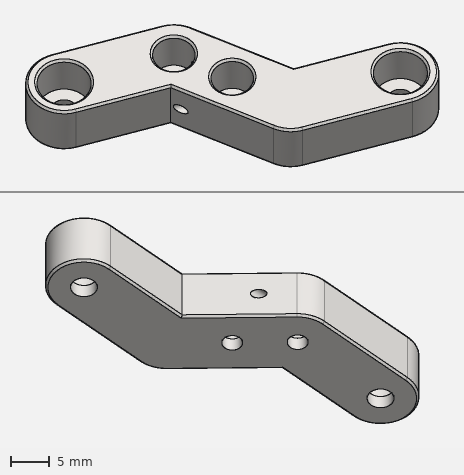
import cadquery as cq
import math

length = 52.0
arm_width = 10.0
side_step = 12.0
thickness = 8.0
edge_chamfer = 0.3

end_pocket_diameter = 7.0
end_bore_diameter = 3.5
middle_pocket_diameter = 5.5
middle_bore_diameter = 2.7
pocket_depth = 6.0

cross_diameter = 1.5

end_radius = arm_width / 2
half_step = side_step / 2
center_y = length / 2 - end_radius
lower_end = (-half_step, -center_y)
lower_bend = (-half_step, -half_step)
upper_end = (half_step, center_y)
slant_center = (0, 0)


def make_body():
    """Extrude the bent bar with rounded ends and rounded outer bends."""
    diagonal = end_radius / math.sqrt(2)
    middle_angle = math.radians(22.5)
    inner_shift = end_radius * math.tan(middle_angle)
    arc_x = end_radius * math.cos(middle_angle)
    arc_y = end_radius * math.sin(middle_angle)
    left = -half_step - end_radius
    right = half_step + end_radius
    outline = (
        cq.Workplane("XY")
        .moveTo(left, -center_y)
        .threePointArc((-half_step, -length / 2), (-half_step + end_radius, -center_y))
        .lineTo(-half_step + end_radius, -half_step - inner_shift)
        .lineTo(half_step + diagonal, half_step - diagonal)
        .threePointArc((half_step + arc_x, half_step - arc_y), (right, half_step))
        .lineTo(right, center_y)
        .threePointArc((half_step, length / 2), (half_step - end_radius, center_y))
        .lineTo(half_step - end_radius, half_step + inner_shift)
        .lineTo(-half_step - diagonal, -half_step + diagonal)
        .threePointArc((-half_step - arc_x, -half_step + arc_y), (left, -half_step))
        .close()
    )
    return outline.extrude(thickness).faces("<Z or >Z").chamfer(edge_chamfer)


def stepped_hole(center, pocket_diameter, bore_diameter):
    """Cutter for a through bore with a wider pocket and a chamfered mouth."""
    pocket_radius = pocket_diameter / 2
    bore_radius = bore_diameter / 2
    floor = thickness - pocket_depth
    profile = [
        (0, 0),
        (bore_radius, 0),
        (bore_radius, floor),
        (pocket_radius, floor),
        (pocket_radius, thickness - edge_chamfer),
        (pocket_radius + edge_chamfer, thickness),
        (0, thickness),
    ]
    cutter = cq.Workplane("XZ").polyline(profile).close().revolve(360, (0, 0), (0, 1))
    return cutter.translate((center[0], center[1], 0))


def cross_hole(center, direction_y):
    """Cutter for a small hole from a pocket centre out through a slanted face."""
    start = cq.Vector(center[0], center[1], thickness / 2)
    direction = cq.Vector(0, direction_y, 0)
    cylinder = cq.Solid.makeCylinder(cross_diameter / 2, length / 2, start, direction)
    return cq.Workplane(obj=cylinder)


result = make_body()
for end in (lower_end, upper_end):
    result = result.cut(stepped_hole(end, end_pocket_diameter, end_bore_diameter))
for center in (lower_bend, slant_center):
    result = result.cut(stepped_hole(center, middle_pocket_diameter, middle_bore_diameter))
result = result.cut(cross_hole(slant_center, -1))
result = result.cut(cross_hole(lower_bend, 1))